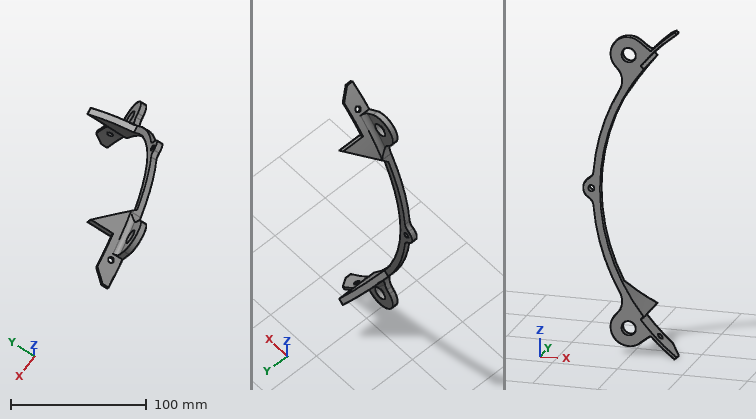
import cadquery as cq
import math


INNER_R = 153.7
OUTER_R = 159.3
CENTER_X = 166.7
PLATE_T = 4.8
PART_H = 35.0

FIN_END_ANGLE = 38.8
TAIL_INNER_R = 157.0
FIN_FOOT = -30.2
TAIL_LENGTH = 38.5
TAIL_BEVEL_START = 29.5
TAIL_H = 15.0
TAIL_TIP_H = 5.3
TAIL_HOLE_ANGLE = 45.8
TAIL_HOLE_H = 7.9
SMALL_HOLE_D = 4.5

EAR_X = 35.0
EAR_Z = 106.0
EAR_R = 14.0
EAR_HOLE_D = 11.0
EAR_FOOT_Z = 79.0
EAR_TIP_Z = 110.5
EAR_TANGENT_ANGLE = 53
EAR_NECK_ANGLE = 225
NECK_START = (27.7, 93.4)
NECK_MIDDLE = (30.0, 86.5)
EAR_FILLET_R = 4.0

BOSS_R = 8.4
BOSS_HOLE_X = 6.3
BOSS_EDGE_X = 4.3
BOSS_FOOT_Z = 13.5
BOSS_BLEND_MIDDLE = (7.0, 10.5)


def polar(center, radius, degrees):
    angle = math.radians(degrees)
    return (center[0] + radius * math.cos(angle), center[1] + radius * math.sin(angle))


def band_point(radius, degrees):
    """Point on the band, with the angle measured upward from -X."""
    return polar((CENTER_X, 0), radius, 180 - degrees)


def outer_x(z):
    return CENTER_X - math.sqrt(OUTER_R**2 - z**2)


def raise_up(sketch, height):
    """Extrude an XZ sketch toward +Y."""
    return sketch.extrude(-height)


def mirrored(half):
    return half.union(half.mirror("XY"))


def ring(inner_radius, outer_radius, height):
    sketch = cq.Workplane("XZ").center(CENTER_X, 0).circle(outer_radius).circle(inner_radius)
    return raise_up(sketch, height)


def radial_plane(degrees):
    """Plane facing outward at an angle on the band: local x is tangential, local y is +Y."""
    angle = math.radians(degrees)
    return cq.Plane(
        origin=(CENTER_X, 0, 0),
        xDir=(math.sin(angle), 0, math.cos(angle)),
        normal=(-math.cos(angle), 0, math.sin(angle)),
    )


def upper_band():
    """Band above Z = 0 with its upright fin and tail."""
    reach = OUTER_R + PART_H
    plane = radial_plane(FIN_END_ANGLE)
    profile = (
        cq.Workplane(plane)
        .polyline([
            (-reach, 0),
            (-reach, PLATE_T),
            (FIN_FOOT, PLATE_T),
            (0, PART_H),
            (0, TAIL_H),
            (TAIL_BEVEL_START, TAIL_H),
            (TAIL_LENGTH, TAIL_TIP_H),
            (TAIL_LENGTH, 0),
        ])
        .close()
        .extrude(reach)
    )
    tail_side = cq.Workplane(plane).rect(reach, reach).extrude(reach).translate(
        plane.xDir * (reach / 2)
    )
    tail_relief = ring(INNER_R - PLATE_T, TAIL_INNER_R, PART_H).intersect(tail_side)
    hole = (
        cq.Workplane(radial_plane(TAIL_HOLE_ANGLE))
        .center(0, TAIL_HOLE_H)
        .circle(SMALL_HOLE_D / 2)
        .extrude(reach)
    )
    upper_half = cq.Workplane("XY").box(
        2 * CENTER_X, PART_H, CENTER_X, centered=(False, False, False)
    )
    half_ring = ring(INNER_R, OUTER_R, PART_H).intersect(upper_half)
    return half_ring.intersect(profile).cut(tail_relief).cut(hole)


def ear(height):
    """Ear outline, rooted inside the band so that the two overlap."""
    center = (EAR_X, EAR_Z)
    foot = (outer_x(EAR_FOOT_Z), EAR_FOOT_Z)
    tip = (outer_x(EAR_TIP_Z), EAR_TIP_Z)
    root_r = (TAIL_INNER_R + OUTER_R) / 2
    foot_angle = math.degrees(math.asin(EAR_FOOT_Z / OUTER_R))
    tip_angle = math.degrees(math.asin(EAR_TIP_Z / OUTER_R))
    root_middle = band_point(root_r, (foot_angle + tip_angle) / 2)
    arc_middle = (EAR_TANGENT_ANGLE + EAR_NECK_ANGLE) / 2
    sketch = (
        cq.Workplane("XZ")
        .moveTo(*tip)
        .lineTo(*polar(center, EAR_R, EAR_TANGENT_ANGLE))
        .threePointArc(polar(center, EAR_R, arc_middle), polar(center, EAR_R, EAR_NECK_ANGLE))
        .lineTo(*NECK_START)
        .threePointArc(NECK_MIDDLE, foot)
        .lineTo(*band_point(root_r, foot_angle))
        .threePointArc(root_middle, band_point(root_r, tip_angle))
        .close()
    )
    return raise_up(sketch, height)


def ear_fillet():
    """Concave blend from the ear face up to the wall, trimmed to the ear outline."""
    top = PLATE_T + EAR_FILLET_R
    axis_r = OUTER_R + EAR_FILLET_R
    bend = polar((axis_r, top), EAR_FILLET_R, 225)
    section = (
        cq.Workplane("XY")
        .moveTo(CENTER_X - OUTER_R, PLATE_T)
        .lineTo(CENTER_X - OUTER_R, top)
        .threePointArc((CENTER_X - bend[0], bend[1]), (CENTER_X - axis_r, PLATE_T))
        .close()
    )
    blend = section.revolve(360, (CENTER_X, 0, 0), (CENTER_X, 1, 0))
    return blend.intersect(ear(top))


def boss():
    edge_z = math.sqrt(BOSS_R**2 - (BOSS_R - BOSS_EDGE_X) ** 2)
    foot_x = outer_x(BOSS_FOOT_Z)
    blend_x, blend_z = BOSS_BLEND_MIDDLE
    sketch = (
        cq.Workplane("XZ")
        .moveTo(foot_x, BOSS_FOOT_Z)
        .threePointArc((blend_x, blend_z), (BOSS_EDGE_X, edge_z))
        .threePointArc((0, 0), (BOSS_EDGE_X, -edge_z))
        .threePointArc((blend_x, -blend_z), (foot_x, -BOSS_FOOT_Z))
        .lineTo(CENTER_X - (INNER_R + OUTER_R) / 2, 0)
        .close()
    )
    return raise_up(sketch, PLATE_T)


def plate_holes():
    ears = cq.Workplane("XZ").pushPoints([(EAR_X, EAR_Z), (EAR_X, -EAR_Z)]).circle(EAR_HOLE_D / 2)
    middle = cq.Workplane("XZ").center(BOSS_HOLE_X, 0).circle(SMALL_HOLE_D / 2)
    return raise_up(ears, PART_H).union(raise_up(middle, PART_H))


upper_part = upper_band().union(ear(PLATE_T)).union(ear_fillet())
result = mirrored(upper_part).union(boss()).cut(plate_holes())